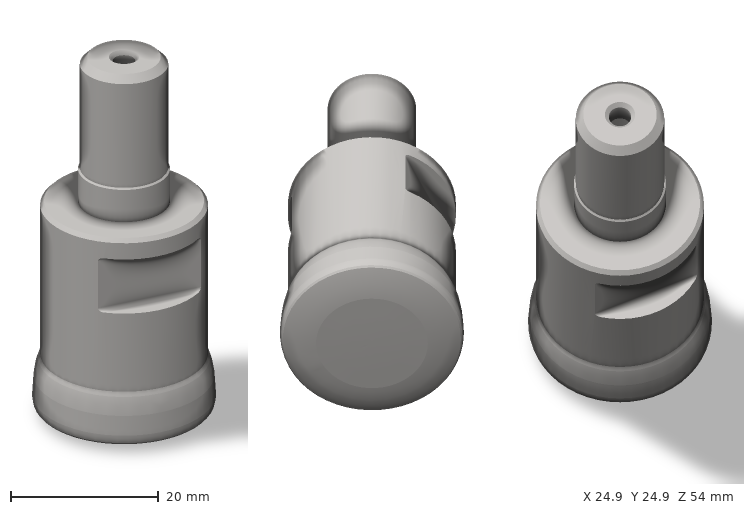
import cadquery as cq
import math

total_height = 54.0
collar_top = 37.15
body_top = 32.0
cap_top = 8.8

stud_radius = 12.0 / 2
stud_chamfer = 1.0
collar_radius = 12.5 / 2
collar_chamfer = 0.2

body_radius = 22.75 / 2
body_chamfer = 0.55
flat_distance = 8.4
flat_bottom = 20.75
flat_top = 29.0
flat_fillet = 0.55

hole_radius = 3.0 / 2
hole_mouth_radius = 2.05
hole_depth = 3.25
drill_tip_angle = 118.0

cap_radius = 12.445
cap_lip_radius = 11.65
cap_lip_height = 8.15
cap_shoulder_radius = 12.25
cap_shoulder_height = 5.55
cap_widest_height = 2.65
cap_shoulder_bulge = 0.1
cap_corner_radius = 12.25
cap_corner_height = 1.4
cap_corner_bulge = 0.05
sole_edge_radius = 12.05
sole_edge_height = 1.15
crown_radius = 7.55
crown_height = 0.1


def bulged_midpoint(start, end, bulge):
    """Point outside the middle of a profile chord, offset radially by the bulge."""
    return ((start[0] + end[0]) / 2 + bulge, (start[1] + end[1]) / 2)


def revolve_profile(profile):
    """Turn a closed (radius, height) profile around the Z axis."""
    return profile.close().revolve(360, (0, 0, 0), (0, 1, 0))


def make_hole_cutter():
    """Countersunk drilled hole with a conical end, open at the stud tip."""
    countersink_depth = hole_mouth_radius - hole_radius
    tip_height = hole_radius / math.tan(math.radians(drill_tip_angle / 2))
    hole_floor = total_height - hole_depth
    return revolve_profile(
        cq.Workplane("XZ")
        .moveTo(0, total_height)
        .lineTo(hole_mouth_radius, total_height)
        .lineTo(hole_radius, total_height - countersink_depth)
        .lineTo(hole_radius, hole_floor)
        .lineTo(0, hole_floor - tip_height)
    )


def make_flat_cutter(side):
    """Block that cuts one wrench flat, with rounded inner corners."""
    block_depth = body_radius
    return (
        cq.Workplane("XY")
        .box(block_depth, 2 * cap_radius, flat_top - flat_bottom)
        .edges("|Y and " + ("<X" if side > 0 else ">X"))
        .fillet(flat_fillet)
        .translate((side * (flat_distance + block_depth / 2), 0, (flat_bottom + flat_top) / 2))
    )


def make_body():
    """Stud, collar and wrench body as one turned piece."""
    body = revolve_profile(
        cq.Workplane("XZ")
        .moveTo(0, cap_top)
        .lineTo(body_radius, cap_top)
        .lineTo(body_radius, body_top - body_chamfer)
        .lineTo(body_radius - body_chamfer, body_top)
        .lineTo(collar_radius, body_top)
        .lineTo(collar_radius, collar_top - collar_chamfer)
        .lineTo(collar_radius - collar_chamfer, collar_top)
        .lineTo(stud_radius, collar_top)
        .lineTo(stud_radius, total_height - stud_chamfer)
        .lineTo(stud_radius - stud_chamfer, total_height)
        .lineTo(0, total_height)
    )
    body = body.cut(make_hole_cutter())
    for side in (-1, 1):
        body = body.cut(make_flat_cutter(side))
    return body


def make_cap():
    """Rounded end cap with a sole that curves into a shallow crown."""
    lip = (cap_lip_radius, cap_lip_height)
    shoulder = (cap_shoulder_radius, cap_shoulder_height)
    widest = (cap_radius, cap_widest_height)
    corner = (cap_corner_radius, cap_corner_height)
    crown_edge = (crown_radius, crown_height)
    crown_middle = (crown_radius / 2, crown_height / 4)
    return revolve_profile(
        cq.Workplane("XZ")
        .threePointArc(crown_middle, crown_edge)
        .tangentArcPoint((sole_edge_radius, sole_edge_height), relative=False)
        .lineTo(*corner)
        .threePointArc(bulged_midpoint(corner, widest, cap_corner_bulge), widest)
        .lineTo(*shoulder)
        .threePointArc(bulged_midpoint(shoulder, lip, cap_shoulder_bulge), lip)
        .lineTo(body_radius, cap_top)
        .lineTo(0, cap_top)
    )


body = make_body()
cap = make_cap()
result = cq.Compound.makeCompound([body.val(), cap.val()])